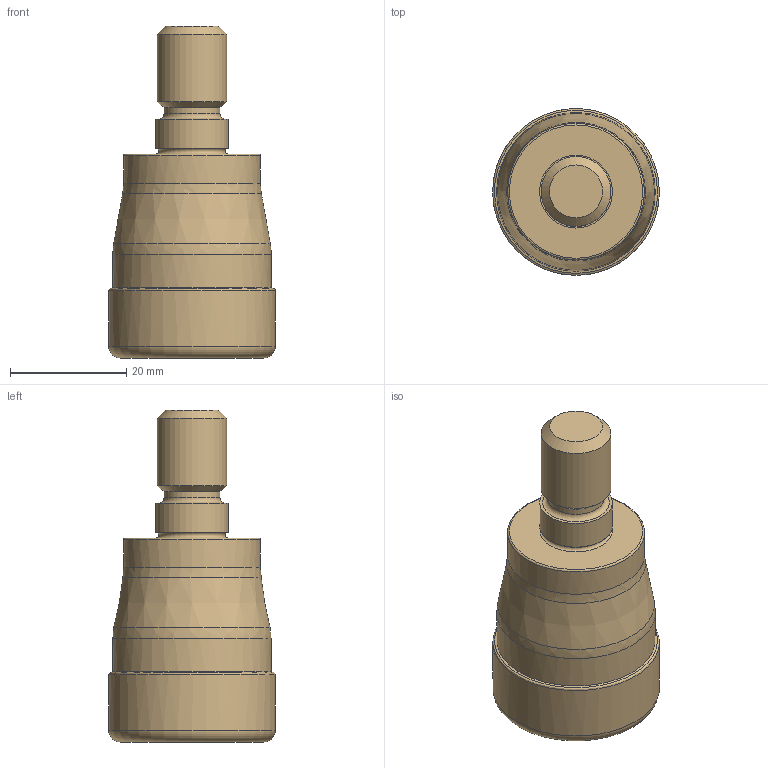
import cadquery as cq
import math

cap_height = 12.05
body_top = 35.0
collar_bottom = 36.0
collar_top = 41.0
thread_bottom = 44.0
overall_height = 57.0

cap_radius = 14.3
cap_bottom_fillet = 2.0
cap_shoulder_slope = math.radians(12)
cap_shoulder_fillet = 0.4

body_lower_radius = 13.6
body_upper_radius = 11.75
taper_start = 18.7
taper_end = 29.1
taper_blend_radius = 10.5
body_top_fillet = 0.3

collar_radius = 6.25
neck_edge_radius = 6.2
undercut_radius = 4.8
undercut_fillet = 0.9
runout_height = 1.0
thread_radius = 6.0
thread_chamfer = 1.45


def edges_at(radius, height):
    """Selector for the turned edges within the given radius at the given height."""
    margin = 0.01
    return cq.selectors.BoxSelector(
        (-radius - margin, -radius - margin, height - margin),
        (radius + margin, radius + margin, height + margin),
        boundingbox=True,
    )


def turn(profile):
    """Revolve a closed profile, drawn as radius and height, around the Z axis."""
    return profile.close().revolve(360, (0, 0, 0), (0, 1, 0))


def make_cap():
    """Solid round cap whose narrow, slightly sloped shoulder rises to the body."""
    shoulder_height = cap_height - (cap_radius - body_lower_radius) * math.tan(cap_shoulder_slope)
    cap = turn(
        cq.Workplane("XZ")
        .lineTo(cap_radius, 0)
        .lineTo(cap_radius, shoulder_height)
        .lineTo(body_lower_radius, cap_height)
        .lineTo(0, cap_height)
    )
    cap = cap.edges(edges_at(cap_radius, 0)).fillet(cap_bottom_fillet)
    return cap.edges(edges_at(cap_radius, shoulder_height)).fillet(cap_shoulder_fillet)


def make_stud_body():
    """Tapered body and threaded stud, turned as one piece that stands on the cap."""
    neck_round = (collar_bottom - body_top) / 2
    neck_middle = body_top + neck_round
    neck_radius = neck_edge_radius - neck_round
    arc_reach = neck_round * math.sqrt(0.5)
    stud_body = turn(
        cq.Workplane("XZ")
        .moveTo(0, cap_height)
        .lineTo(body_lower_radius, cap_height)
        .lineTo(body_lower_radius, taper_start)
        .lineTo(body_upper_radius, taper_end)
        .lineTo(body_upper_radius, body_top)
        .lineTo(neck_edge_radius, body_top)
        .threePointArc(
            (neck_edge_radius - arc_reach, neck_middle - arc_reach),
            (neck_radius, neck_middle),
        )
        .threePointArc(
            (neck_edge_radius - arc_reach, neck_middle + arc_reach),
            (neck_edge_radius, collar_bottom),
        )
        .lineTo(collar_radius, collar_bottom)
        .lineTo(collar_radius, collar_top)
        .lineTo(undercut_radius, collar_top)
        .lineTo(undercut_radius, thread_bottom - runout_height)
        .lineTo(thread_radius, thread_bottom)
        .lineTo(thread_radius, overall_height - thread_chamfer)
        .lineTo(thread_radius - thread_chamfer, overall_height)
        .lineTo(0, overall_height)
    )
    stud_body = stud_body.edges(edges_at(body_lower_radius, taper_start)).fillet(taper_blend_radius)
    stud_body = stud_body.edges(edges_at(body_upper_radius, taper_end)).fillet(taper_blend_radius)
    stud_body = stud_body.edges(edges_at(undercut_radius, collar_top)).fillet(undercut_fillet)
    top_edge = stud_body.edges(edges_at(body_upper_radius, body_top)).edges(
        cq.selectors.RadiusNthSelector(-1)
    )
    return top_edge.fillet(body_top_fillet)


cap = make_cap()
stud_body = make_stud_body()

result = cq.Compound.makeCompound([cap.val(), stud_body.val()])